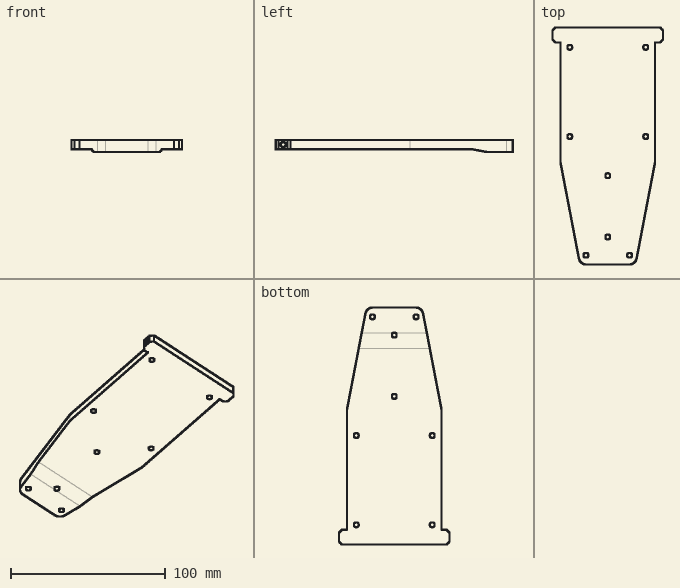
import cadquery as cq

length = 153.6
plate_thickness = 6.1
tip_thickness = 8.0
body_width = 61.5
taper_start_y = -10.3
tip_width = 36.0
tip_corner_radius = 5.2

head_width = 71.6
head_depth = 9.8
head_chamfer = 2.0

ramp_start_y = -50.2
ramp_end_y = -60.2

bore_diameter = 3.2
bore_inset = 4.9

hole_diameter = 3.2
hole_roof = 0.2
wide_pair_x = 24.5
tip_pair_x = 14.1
rear_row_y = 63.9
middle_row_y = 6.1
tip_row_y = -70.7
center_hole_ys = (-19.2, -58.8)

rear_y = length / 2
tip_y = -length / 2
top_z = tip_thickness / 2
plate_bottom_z = top_z - plate_thickness
tip_bottom_z = -tip_thickness / 2


def make_body():
    """Tapered plate with rounded tip corners."""
    outline = [
        (-body_width / 2, rear_y),
        (-body_width / 2, taper_start_y),
        (-tip_width / 2, tip_y),
        (tip_width / 2, tip_y),
        (body_width / 2, taper_start_y),
        (body_width / 2, rear_y),
    ]
    body = (
        cq.Workplane("XY")
        .workplane(offset=tip_bottom_z)
        .polyline(outline)
        .close()
        .extrude(tip_thickness)
    )
    return body.edges("|Z and <Y").fillet(tip_corner_radius)


def make_head():
    """Cross bar with four chamfered corners."""
    head = (
        cq.Workplane("XY")
        .workplane(offset=plate_bottom_z)
        .center(0, rear_y - head_depth / 2)
        .rect(head_width, head_depth)
        .extrude(plate_thickness)
    )
    return head.edges("|Z").chamfer(head_chamfer)


def make_underside_relief():
    """Material below the thin plate, ending in the ramp toward the tip."""
    profile = [
        (rear_y, tip_bottom_z),
        (rear_y, plate_bottom_z),
        (ramp_start_y, plate_bottom_z),
        (ramp_end_y, tip_bottom_z),
    ]
    return cq.Workplane("YZ").polyline(profile).close().extrude(body_width / 2, both=True)


def make_cross_bore():
    """Bore running the full width of the head."""
    bore_z = top_z - plate_thickness / 2
    return (
        cq.Workplane("YZ")
        .center(rear_y - bore_inset, bore_z)
        .circle(bore_diameter / 2)
        .extrude(head_width / 2, both=True)
    )


def make_blind_holes():
    """Three mirrored hole pairs and two holes on the centre line."""
    centers = [(0, y) for y in center_hole_ys]
    for x, y in ((wide_pair_x, rear_row_y), (wide_pair_x, middle_row_y), (tip_pair_x, tip_row_y)):
        centers += [(-x, y), (x, y)]
    return (
        cq.Workplane("XY")
        .workplane(offset=tip_bottom_z)
        .pushPoints(centers)
        .circle(hole_diameter / 2)
        .extrude(tip_thickness - hole_roof)
    )


plate = make_body().cut(make_underside_relief()).union(make_head())
result = plate.cut(make_cross_bore()).cut(make_blind_holes())